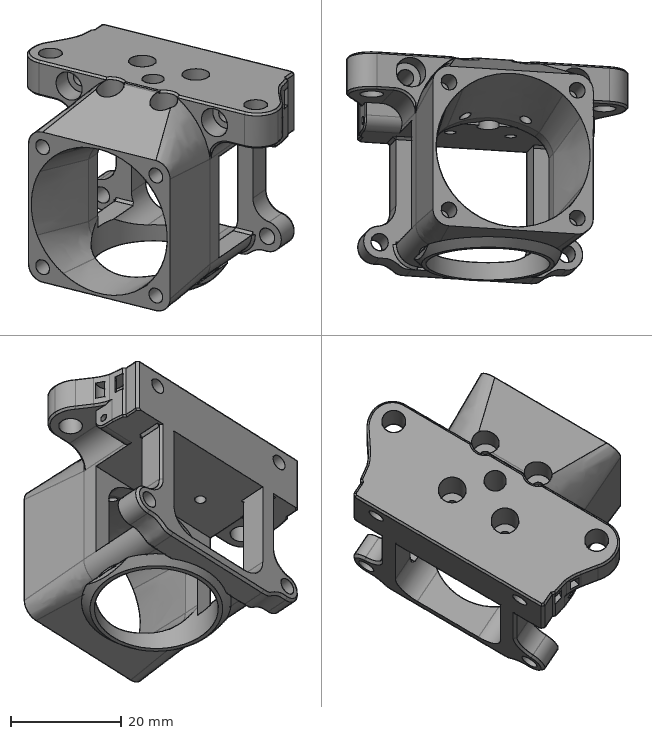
import cadquery as cq
import math


top_z = 21.0
rear_y = 20.15
edge_break = 0.4
rear_break = 0.5

plate_thickness = 7.0
plate_bottom_z = top_z - plate_thickness
plate_half_width = 26.185
ear_hole_x = 21.75
ear_radius = plate_half_width - ear_hole_x
ear_hole_diameter = 4.3
hole_row_y = 4.0
centre_hole_diameter = 4.0
ear_flank_start = (24.75, 8.3)
ear_flank_end = (22.8, 11.05)
waist_end = (21.4, 13.8)
waist_rear = (20.95, 16.7)
rear_step_y = 17.15
rear_half_width = 20.5

block_bottom_z = 9.25
block_half_width = 21.5
block_front_y = 10.0
panel_rear_y = 14.27
block_round = 2.4
block_break = 0.3
wire_hole_diameter = 1.44
wire_hole_depth = 5.0
wire_hole_y = 12.25
wire_hole_z = 11.2

fan_size = 30.0
fan_half = fan_size / 2
fan_corner = 3.0
fan_bore_radius = 14.4
bore_seam_angles = [49.6, 29.0, -24.0, -58.0]
fan_hole_pitch = 24.0
fan_hole_diameter = 2.9
fan_hole_depth = 6.0
duct_length = 15.0
body_half_width = 14.5
body_shoulder_z = 10.0
body_bottom_z = -fan_half
body_corner = 4.0
body_top_half_width = 6.85
body_corner_mid = (11.9, 16.4)

opening_half_width = 11.25
opening_floor_z = -13.3
opening_corner = 4.7
opening_side_top_z = 3.86
opening_shoulder = (8.6, 7.7)
opening_corner_mid = (10.3, 6.0)
opening_crown_z = 9.9
front_wall = 3.2

frame_front_y = 15.1
frame_bottom_z = -15.5
frame_ear_x = 17.5
frame_ear_z = -10.7
frame_ear_radius = 3.0
frame_ear_hole_diameter = 3.2
frame_ear_blend = 4.0
frame_joint_bevel = 0.5
frame_foot = [(15.9, -13.75), (14.0, -14.7), (11.5, frame_bottom_z)]

rim_bottom_z = -16.55
rim_bottom_radius = 12.05
rim_outer_radius = 12.5
rim_break = 0.55
aperture_radius = opening_half_width

sensor_pitch = 11.32
sensor_hole_diameter = 2.08
sensor_head_diameter = 5.0
sensor_head_floor_z = 13.0
bolt_x = 15.4
bolt_z = 17.5
bolt_hole_diameter = 3.0
bolt_head_diameter = 5.5
bolt_head_depth = 4.0

tie_centre = (21.4, 13.93)
tie_inner_radius = 1.13
tie_outer_radius = 2.88
tie_z = (15.7, 19.3)


def mirrored(solid):
    """The solid together with its mirror image across the YZ plane."""
    return solid.union(solid.mirror("YZ"))


def box(x_range, y_range, z_range):
    """Axis-aligned box spanning the three (low, high) ranges."""
    spans = [high - low for low, high in (x_range, y_range, z_range)]
    low_corner = (x_range[0], y_range[0], z_range[0])
    return cq.Workplane("XY").box(*spans, centered=False).translate(low_corner)


def front_plane(y):
    """XZ sketch plane at the given Y; extrusions grow toward -Y."""
    return cq.Workplane("XZ", origin=(0, y, 0))


def pin_z(x, y, diameter, low_z, high_z):
    """Vertical cylinder."""
    plane = cq.Workplane("XY", origin=(x, y, low_z))
    return plane.circle(diameter / 2).extrude(high_z - low_z)


def pin_y(x, z, diameter, front_y, back_y):
    """Cylinder along Y."""
    return front_plane(back_y).center(x, z).circle(diameter / 2).extrude(back_y - front_y)


def mounting_plate():
    plate = (
        cq.Workplane("XY", origin=(0, 0, plate_bottom_z))
        .lineTo(ear_hole_x, 0)
        .tangentArcPoint((plate_half_width, ear_radius), relative=False)
        .tangentArcPoint(ear_flank_start, relative=False)
        .lineTo(*ear_flank_end)
        .tangentArcPoint(waist_end, relative=False)
        .lineTo(*waist_rear)
        .lineTo(rear_half_width, rear_step_y)
        .lineTo(rear_half_width, rear_y)
        .lineTo(0, rear_y)
        .mirrorY()
        .extrude(plate_thickness)
    )
    plate = plate.edges("|Z and >Y").chamfer(rear_break)
    return plate.faces("<Z or >Z").edges().chamfer(edge_break)


def lower_block():
    waist_slope = (waist_end[0] - waist_rear[0]) / (waist_end[1] - waist_rear[1])
    panel_waist_x = waist_rear[0] + waist_slope * (panel_rear_y - waist_rear[1])
    outline = [
        (block_half_width, block_front_y),
        (panel_waist_x, panel_rear_y),
        waist_rear,
        (rear_half_width, rear_step_y),
        (rear_half_width, rear_y),
    ]
    mirrored_outline = [(-x, y) for x, y in reversed(outline)]
    block = (
        cq.Workplane("XY", origin=(0, 0, block_bottom_z))
        .polyline(outline + mirrored_outline)
        .close()
        .extrude(plate_bottom_z + edge_break - block_bottom_z)
    )
    block = block.edges("|Z and >Y").chamfer(rear_break)
    block = block.edges("|X and <Y and <Z").fillet(block_round)
    return block.edges("<Z and (not |X)").chamfer(block_break)


def body_section():
    """Outer outline of the body at the root of the duct."""
    low_z = body_bottom_z + body_corner
    low_x = body_half_width - body_corner
    low_mid = body_corner * math.sqrt(0.5)
    return (
        front_plane(0)
        .moveTo(-body_top_half_width, top_z)
        .lineTo(body_top_half_width, top_z)
        .threePointArc(body_corner_mid, (body_half_width, body_shoulder_z))
        .lineTo(body_half_width, low_z)
        .threePointArc((low_x + low_mid, low_z - low_mid), (low_x, body_bottom_z))
        .lineTo(-low_x, body_bottom_z)
        .threePointArc((-low_x - low_mid, low_z - low_mid), (-body_half_width, low_z))
        .lineTo(-body_half_width, body_shoulder_z)
        .threePointArc((-body_corner_mid[0], body_corner_mid[1]), (-body_top_half_width, top_z))
        .close()
    )


def fan_section():
    """Rounded square outline of the fan face, started like the body section."""
    inner = fan_half - fan_corner
    mid = inner + fan_corner * math.sqrt(0.5)
    return (
        front_plane(-duct_length)
        .moveTo(-inner, fan_half)
        .lineTo(inner, fan_half)
        .threePointArc((mid, mid), (fan_half, inner))
        .lineTo(fan_half, -inner)
        .threePointArc((mid, -mid), (inner, -fan_half))
        .lineTo(-inner, -fan_half)
        .threePointArc((-mid, -mid), (-fan_half, -inner))
        .lineTo(-fan_half, inner)
        .threePointArc((-mid, mid), (-inner, fan_half))
        .close()
    )


def ruled_loft(first, second):
    wires = [section.wires().val() for section in (first, second)]
    return cq.Workplane(cq.Solid.makeLoft(wires, True))


def rear_body():
    """Straight part of the body, flaring in quarter rounds to the plate underside."""
    flare = plate_bottom_z - body_shoulder_z
    flare_x = body_half_width + flare
    swing = flare * math.sqrt(0.5)
    low_x = body_half_width - body_corner
    low_z = body_bottom_z + body_corner
    plate_overlap_z = plate_bottom_z + edge_break
    straight = (
        front_plane(frame_front_y)
        .moveTo(0, plate_overlap_z)
        .lineTo(flare_x, plate_overlap_z)
        .lineTo(flare_x, plate_bottom_z)
        .threePointArc(
            (flare_x - swing, body_shoulder_z + swing), (body_half_width, body_shoulder_z)
        )
        .lineTo(body_half_width, low_z)
        .tangentArcPoint((low_x, body_bottom_z), relative=False)
        .lineTo(0, body_bottom_z)
        .mirrorY()
        .extrude(frame_front_y)
    )
    bevel = cq.Solid.makeCone(
        flare + edge_break,
        flare,
        edge_break,
        pnt=cq.Vector(flare_x, 0, body_shoulder_z),
        dir=cq.Vector(0, 1, 0),
    )
    bevel_zone = box(
        (body_half_width, flare_x), (0, edge_break), (body_shoulder_z, plate_overlap_z)
    )
    return straight.cut(mirrored(cq.Workplane(bevel).intersect(bevel_zone)))


def rear_frame():
    blend_x = body_half_width + frame_ear_blend
    reach = frame_ear_radius + frame_ear_blend
    blend_z = frame_ear_z + math.sqrt(reach**2 - (blend_x - frame_ear_x) ** 2)
    share = frame_ear_radius / reach
    touch = (
        frame_ear_x + share * (blend_x - frame_ear_x),
        frame_ear_z + share * (blend_z - frame_ear_z),
    )
    swing = frame_ear_blend * math.sqrt(0.5)
    ear_bottom_z = frame_ear_z - frame_ear_radius
    frame = (
        front_plane(rear_y)
        .moveTo(0, block_bottom_z + block_round)
        .lineTo(body_half_width, block_bottom_z + block_round)
        .lineTo(body_half_width, blend_z)
        .threePointArc((blend_x - swing, blend_z - swing), touch)
        .threePointArc(
            (frame_ear_x + frame_ear_radius, frame_ear_z), (frame_ear_x, ear_bottom_z)
        )
        .spline(frame_foot, tangents=[(-1, 0), (-1, 0)], includeCurrent=True)
        .lineTo(0, frame_bottom_z)
        .mirrorY()
        .extrude(rear_y - frame_front_y)
    )
    return frame.faces(">Y").edges("not >Z").chamfer(rear_break)


def frame_bevels():
    """Bevels where the frame meets the body's lower corners and the block underside."""
    bevel = frame_joint_bevel
    corner = (body_half_width - body_corner, body_bottom_z + body_corner)
    cone = cq.Solid.makeCone(
        body_corner + bevel,
        body_corner,
        bevel,
        pnt=cq.Vector(corner[0], frame_front_y, corner[1]),
        dir=cq.Vector(0, -1, 0),
    )
    outer_quarter = box((corner[0], fan_size), (0, rear_y), (-fan_size, corner[1]))
    leg_top = (
        front_plane(rear_y - rear_break)
        .moveTo(body_half_width, block_bottom_z)
        .lineTo(body_half_width + bevel, block_bottom_z)
        .lineTo(body_half_width, block_bottom_z - bevel)
        .close()
        .extrude(rear_y - rear_break - frame_front_y)
    )
    return mirrored(cq.Workplane(cone).intersect(outer_quarter).union(leg_top))


def aperture_rim():
    """Round rim under the floor, flaring out to the floor in front and behind."""
    flare_height = body_bottom_z - rim_bottom_z
    flare = cq.Workplane(
        cq.Solid.makeCone(
            rim_bottom_radius,
            rim_bottom_radius + flare_height,
            flare_height,
            pnt=cq.Vector(0, hole_row_y, rim_bottom_z),
        )
    )
    flare_x = (-rim_outer_radius, rim_outer_radius)
    flare = flare.intersect(box(flare_x, (-duct_length, rear_y), (rim_bottom_z, body_bottom_z)))
    ring = pin_z(0, hole_row_y, 2 * rim_outer_radius, rim_bottom_z, opening_floor_z)
    ring = ring.faces("<Z").edges().chamfer(rim_break)
    return ring.union(flare)


def opening_section(y):
    """Outline of the air opening at the root of the duct."""
    half = opening_half_width
    low_z = opening_floor_z + opening_corner
    low_x = half - opening_corner
    low_mid = opening_corner * math.sqrt(0.5)
    top_x, top_corner_z = opening_shoulder
    corner_mid = opening_corner_mid
    return (
        front_plane(y)
        .moveTo(-top_x, top_corner_z)
        .threePointArc((0, opening_crown_z), (top_x, top_corner_z))
        .threePointArc(corner_mid, (half, opening_side_top_z))
        .lineTo(half, low_z)
        .threePointArc((low_x + low_mid, low_z - low_mid), (low_x, opening_floor_z))
        .lineTo(-low_x, opening_floor_z)
        .threePointArc((-low_x - low_mid, low_z - low_mid), (-half, low_z))
        .lineTo(-half, opening_side_top_z)
        .threePointArc((-corner_mid[0], corner_mid[1]), (-top_x, top_corner_z))
        .close()
    )


def bore_section():
    """Circular fan bore split at the same eight corners as the air opening."""
    left_angles = [-180 - angle for angle in reversed(bore_seam_angles)]
    corners = [180 - bore_seam_angles[0]] + bore_seam_angles + left_angles

    def on_bore(angle):
        turn = math.radians(angle)
        return (fan_bore_radius * math.cos(turn), fan_bore_radius * math.sin(turn))

    sketch = front_plane(-duct_length).moveTo(*on_bore(corners[0]))
    for start, end in zip(corners, corners[1:]):
        sketch = sketch.threePointArc(on_bore((start + end) / 2), on_bore(end))
    return sketch.close()


def air_passage():
    duct = ruled_loft(opening_section(0), bore_section())
    throat = opening_section(front_wall).extrude(front_wall)
    chamber_x = (-opening_half_width, opening_half_width)
    chamber = box(chamber_x, (front_wall, rear_y), (opening_floor_z, block_bottom_z))
    chamber = chamber.edges("|Y and <Z").fillet(opening_corner)
    window_z = (body_bottom_z + body_corner, block_bottom_z)
    windows = box((-fan_half, fan_half), (front_wall, frame_front_y), window_z)
    windows = windows.edges("|X and >Y").chamfer(frame_joint_bevel)
    aperture_top_z = opening_floor_z + opening_corner
    aperture = pin_z(0, hole_row_y, 2 * aperture_radius, rim_bottom_z, aperture_top_z)
    return duct.union(throat).union(chamber).union(windows).union(aperture)


def screw_holes():
    holes = pin_z(0, hole_row_y, centre_hole_diameter, 0, top_z)
    for side in (-1, 1):
        holes = holes.union(
            pin_z(side * ear_hole_x, hole_row_y, ear_hole_diameter, plate_bottom_z, top_z)
        )
        for row in (-1, 1):
            x = side * sensor_pitch / 2
            y = hole_row_y + row * sensor_pitch / 2
            holes = holes.union(pin_z(x, y, sensor_hole_diameter, 0, top_z))
            holes = holes.union(pin_z(x, y, sensor_head_diameter, sensor_head_floor_z, top_z))
            fan_x = side * fan_hole_pitch / 2
            fan_z = row * fan_hole_pitch / 2
            fan_hole_end = fan_hole_depth - duct_length
            holes = holes.union(pin_y(fan_x, fan_z, fan_hole_diameter, -duct_length, fan_hole_end))
        bolt = pin_y(side * bolt_x, bolt_z, bolt_hole_diameter, 0, rear_y)
        head = pin_y(side * bolt_x, bolt_z, bolt_head_diameter, 0, bolt_head_depth)
        frame_ear = pin_y(
            side * frame_ear_x, frame_ear_z, frame_ear_hole_diameter, frame_front_y, rear_y
        )
        holes = holes.union(bolt).union(head).union(frame_ear)
    return holes


def front_edge_breaks():
    """Bevel along the plate's front edge over the duct, running around the two head recesses."""
    slope = (top_z - fan_half) / duct_length
    head_y = hole_row_y - sensor_pitch / 2
    strip = (
        cq.Workplane("YZ", origin=(-body_top_half_width, 0, 0))
        .moveTo(edge_break, top_z)
        .lineTo(-edge_break, top_z - slope * edge_break)
        .lineTo(-edge_break, top_z)
        .close()
        .extrude(2 * body_top_half_width)
    )
    plate_zone = box((0, fan_size), (0, rear_y), (top_z - edge_break, top_z))
    head_radius = sensor_head_diameter / 2
    cone = cq.Solid.makeCone(
        head_radius,
        head_radius + edge_break,
        edge_break,
        pnt=cq.Vector(sensor_pitch / 2, head_y, top_z - edge_break),
    )
    return mirrored(cq.Workplane(cone).intersect(plate_zone)).union(strip)


def side_cuts():
    """Wire hole and cable tie channel in each side of the block."""
    wire_start = block_half_width - wire_hole_depth
    wire = (
        cq.Workplane("YZ", origin=(wire_start, wire_hole_y, wire_hole_z))
        .circle(wire_hole_diameter / 2)
        .extrude(wire_hole_depth)
    )
    channel = (
        cq.Workplane("XY", origin=(*tie_centre, tie_z[0]))
        .circle(tie_outer_radius)
        .circle(tie_inner_radius)
        .extrude(tie_z[1] - tie_z[0])
    )
    return wire.union(wire.mirror("YZ")).union(channel).union(channel.mirror("YZ"))


result = (
    mounting_plate()
    .union(lower_block())
    .union(rear_body())
    .union(ruled_loft(body_section(), fan_section()))
    .union(rear_frame())
    .union(frame_bevels())
    .union(aperture_rim())
    .cut(air_passage())
    .cut(screw_holes())
    .cut(front_edge_breaks())
    .cut(side_cuts())
)